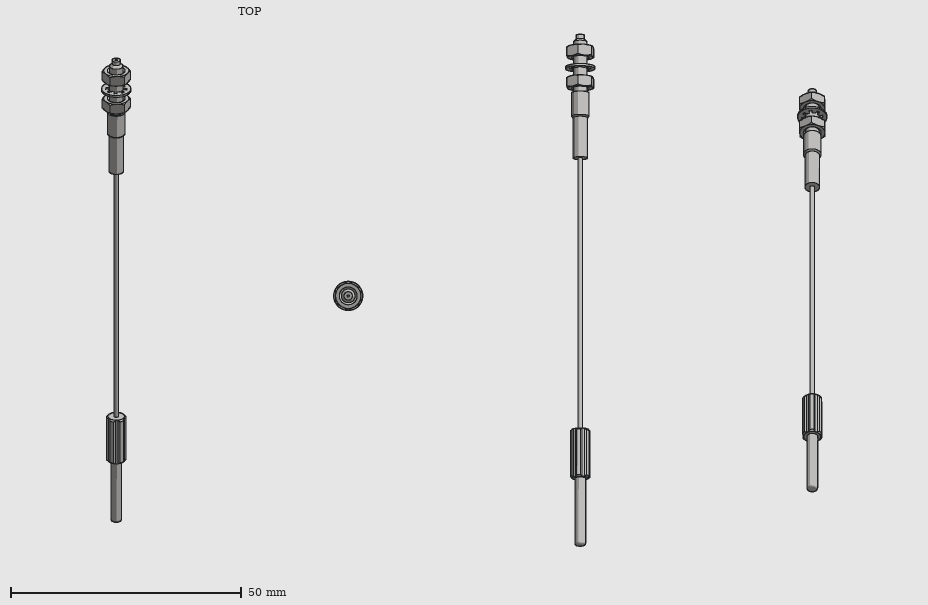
import cadquery as cq
import math

LENGTH = 113.7

FERRULE_RADIUS = 0.9
FERRULE_LENGTH = 0.9
CORE_RADIUS = 0.2
CORE_DEPTH = 0.5
THREAD_RADIUS = 1.5
THREAD_CHAMFER = 0.6
NUT_SIDES = 6
NUT_ACROSS_FLATS = 5.5
NUT_HEIGHT = 2.4
NUT_CHAMFER_ANGLE = 30.0
COUNTERSINK_RADIUS = 1.9
UPPER_NUT_TOP = 111.1
LOWER_NUT_TOP = 104.3

COLLAR_RADIUS = 1.9
COLLAR_TOP = 100.9
COLLAR_BOTTOM = 95.3
COLLAR_CHAMFER = 0.3
STEM_RADIUS = 1.6
STEM_BOTTOM = 86.3

CABLE_RADIUS = 0.5
SLEEVE_RADIUS = 2.2
SLEEVE_TOP = 25.8
SLEEVE_BOTTOM = 15.0
SLEEVE_CHAMFER = 0.3
GROOVE_COUNT = 6
GROOVE_DEPTH = 0.28
GROOVE_FLOOR_WIDTH = 0.6
GROOVE_MOUTH_WIDTH = 1.4
ROD_RADIUS = 2.4 / 2
ROD_FILLET = 0.6

WASHER_OUTER_RADIUS = 3.2
WASHER_INNER_RADIUS = 1.6
WASHER_TOOTH_COUNT = 8
WASHER_SLOT_END_RADIUS = 2.3
WASHER_SLOT_WIDTH = 0.6
WASHER_THICKNESS = 0.5
WASHER_BOTTOM = 106.2


def cylinder(radius, bottom, top):
    """Solid cylinder on the Z axis between two heights."""
    return cq.Workplane("XY", origin=(0, 0, bottom)).circle(radius).extrude(top - bottom)


def make_nut(top):
    """Hexagon nut with flats facing +X and -X, conical ends and a bore countersunk at both ends."""
    half_side_angle = 180 / NUT_SIDES
    flat_radius = NUT_ACROSS_FLATS / 2
    corner_radius = flat_radius / math.cos(math.radians(half_side_angle))
    drop = (corner_radius - flat_radius) * math.tan(math.radians(NUT_CHAMFER_ANGLE))
    bottom = top - NUT_HEIGHT
    hexagon = (
        cq.Workplane("XY", origin=(0, 0, bottom))
        .polygon(NUT_SIDES, 2 * corner_radius)
        .extrude(NUT_HEIGHT)
        .rotate((0, 0, 0), (0, 0, 1), half_side_angle)
    )
    envelope = (
        cq.Workplane("XZ")
        .polyline([
            (0, bottom),
            (flat_radius, bottom),
            (corner_radius, bottom + drop),
            (corner_radius, top - drop),
            (flat_radius, top),
            (0, top),
        ])
        .close()
        .revolve(360, (0, 0, 0), (0, 1, 0))
    )
    nut = hexagon.intersect(envelope).cut(cylinder(THREAD_RADIUS, bottom, top))
    countersink_depth = COUNTERSINK_RADIUS - THREAD_RADIUS
    bore_edges = nut.edges("%CIRCLE").edges(cq.selectors.RadiusNthSelector(0))
    return bore_edges.chamfer(countersink_depth)


def make_groove():
    """Cutter for one trapezoidal groove on the +X side of the sleeve, running its whole length."""
    floor = SLEEVE_RADIUS - GROOVE_DEPTH
    mouth = math.sqrt(SLEEVE_RADIUS**2 - (GROOVE_MOUTH_WIDTH / 2) ** 2)
    wall_slope = (GROOVE_MOUTH_WIDTH - GROOVE_FLOOR_WIDTH) / 2 / (mouth - floor)
    outside = SLEEVE_RADIUS + GROOVE_DEPTH
    floor_half_width = GROOVE_FLOOR_WIDTH / 2
    outside_half_width = floor_half_width + wall_slope * (outside - floor)
    return (
        cq.Workplane("XY", origin=(0, 0, SLEEVE_BOTTOM))
        .polyline([
            (floor, -floor_half_width),
            (outside, -outside_half_width),
            (outside, outside_half_width),
            (floor, floor_half_width),
        ])
        .close()
        .extrude(SLEEVE_TOP - SLEEVE_BOTTOM)
    )


def make_sleeve():
    """Sleeve with chamfered ends and evenly spaced lengthwise grooves."""
    sleeve = cylinder(SLEEVE_RADIUS, SLEEVE_BOTTOM, SLEEVE_TOP)
    sleeve = sleeve.faces("<Z or >Z").chamfer(SLEEVE_CHAMFER)
    groove = make_groove()
    for i in range(GROOVE_COUNT):
        sleeve = sleeve.cut(groove.rotate((0, 0, 0), (0, 0, 1), i * 360 / GROOVE_COUNT))
    return sleeve


def make_threaded_head():
    """Thread with a chamfered end, carrying a ferrule with a small central hole, and two nuts."""
    thread_top = LENGTH - FERRULE_LENGTH
    thread = cylinder(THREAD_RADIUS, COLLAR_TOP, thread_top).faces(">Z").chamfer(THREAD_CHAMFER)
    ferrule = cylinder(FERRULE_RADIUS, thread_top, LENGTH)
    core_hole = cylinder(CORE_RADIUS, LENGTH - CORE_DEPTH, LENGTH)
    head = thread.union(ferrule).cut(core_hole)
    for nut_top in (UPPER_NUT_TOP, LOWER_NUT_TOP):
        head = head.union(make_nut(nut_top))
    return head


def make_probe():
    """One solid from the ferrule down to the rounded end of the sensing rod."""
    collar = cylinder(COLLAR_RADIUS, COLLAR_BOTTOM, COLLAR_TOP).faces("<Z").chamfer(COLLAR_CHAMFER)
    stem = cylinder(STEM_RADIUS, STEM_BOTTOM, COLLAR_BOTTOM)
    cable = cylinder(CABLE_RADIUS, SLEEVE_TOP, STEM_BOTTOM)
    rod = cylinder(ROD_RADIUS, 0, SLEEVE_BOTTOM).faces("<Z").edges().fillet(ROD_FILLET)
    probe = make_threaded_head()
    for segment in (collar, stem, cable, make_sleeve(), rod):
        probe = probe.union(segment)
    return probe


def make_washer():
    """Lock washer whose inner rim is divided into teeth by radial slots; one tooth points along X."""
    washer = (
        cq.Workplane("XY", origin=(0, 0, WASHER_BOTTOM))
        .circle(WASHER_OUTER_RADIUS)
        .circle(WASHER_INNER_RADIUS)
        .extrude(WASHER_THICKNESS)
    )
    pitch = 360 / WASHER_TOOTH_COUNT
    slot = cq.Workplane("XY", origin=(0, 0, WASHER_BOTTOM)).box(
        WASHER_SLOT_END_RADIUS, WASHER_SLOT_WIDTH, WASHER_THICKNESS, centered=(False, True, False)
    )
    for i in range(WASHER_TOOTH_COUNT):
        washer = washer.cut(slot.rotate((0, 0, 0), (0, 0, 1), (i + 0.5) * pitch))
    return washer


probe = make_probe()
washer = make_washer()
result = cq.Compound.makeCompound([probe.val(), washer.val()])